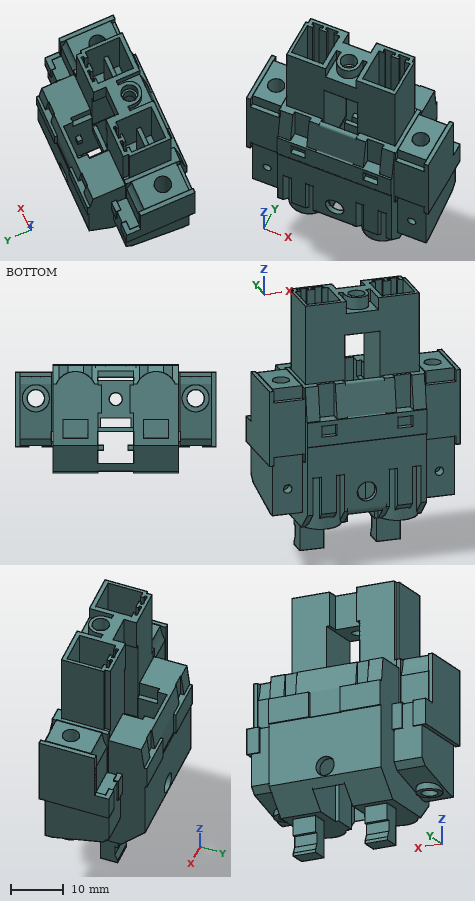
import cadquery as cq

overall_width = 38.1
overall_depth = 20.6
overall_height = 52.4
body_width = 23.85
body_half_width = body_width / 2
body_bottom = 7.4
body_top = 36.5
rear_top = 34.65
rear_shoulder_y = 2.45

front_face_y = -10.05
rear_face_y = 9.95
band_half_depth = overall_depth / 2
band_bottom = 24.85
band_top = 29.8
front_taper_top_y = -8.8
front_taper_bottom_y = -9.9
rear_taper_top_y = 9.15
rear_taper_bottom_y = 9.75
front_chamfer_top = 10.95
front_chamfer_bottom_y = -6.55
rear_chamfer_top = 12.35
rear_chamfer_bottom_y = 5.1
front_grip_half_width = 3.9
top_edge_round = 0.45
bottom_edge_round = 1.25
foot_round = 0.15

channel_half_width = 3.4
channel_front_y = -7.85
channel_rear_y = 8.45
lower_channel_front_y = -9.0
lower_channel_top = 18.45
channel_lead_in_depth = 1.55
channel_side_recess_x = 4.35
channel_side_recess_y = 6.5
channel_side_recess_depth = 3.15
cross_hole_diameter = 3.8
cross_hole_z = 14.5
front_notch_x = (5.9, 9.35)
front_notch_floor_y = -7.95
rear_notch_x = (6.4, 8.9)
rear_notch_floor_y = 9.0
window_x = (6.1, 9.05)
window_z = (26.65, 28.85)
window_depth = 1.05
rear_band_gap_half_width = 3.35

rib_inner_x = 2.7
rib_y = (-6.4, -1.05)
nub_inner_x = 2.3
nub_y = (5.0, 5.95)
nub_z = (20.95, 23.05)
cross_bar_y = (1.6, rear_shoulder_y)
cross_bar_z = (22.0, 25.15)

pole_x = 7.65
sleeve_y = -5.0
sleeve_radius = 4.0
sleeve_top = 18.45
sleeve_slot_x = ((4.5, 6.1), (9.05, 10.8))

flange_half_width = overall_width / 2
flange_bottom = 21.4
flange_shelf = 26.5
flange_front_y = -8.85
flange_rear_y = 5.35
flange_rear_wall_front_y = 4.3
flange_front_wall_z = (23.1, 34.15)
rear_wall_gap_x = (14.0, 16.4)

insert_x = (12.2, 18.2)
insert_top = 36.7
insert_shelf = 26.25
insert_front_y = -7.95
insert_upper_rear_y = 2.3
insert_rear_y = 5.1
insert_bottom = 10.95
insert_flat_rear_y = -6.55
insert_slope_rear_y = 3.8
insert_slope_rear_z = 13.5
insert_corner_z = 14.9
insert_cove_front_y = 1.35
insert_cove_radius = 7.35
insert_bore_x = 15.15
insert_bore_y = -3.9
insert_bore_radius = 1.6
insert_boss_radius = 2.55
side_hole_radius = 0.85
side_hole_z = 16.05
side_hole_depth = 2.1

tower_half_width = 11.35
tower_front_y = -7.3
tower_rear_y = rear_shoulder_y
tower_bottom = 26.2
tower_corner_x = 10.9
tower_corner_y = 1.35
tower_window_half_width = 3.5
tower_window_top = 45.6
rear_notch_half_width = 2.9
rear_notch_front_y = -0.1
bridge_recess_half_width = 3.2
bridge_recess_floor = 49.95
bridge_recess_rear_y = -2.4
bridge_boss_y = -3.7
bridge_boss_radius = 2.3
bridge_bore_radius = 1.2
bridge_counterbore_radius = 1.6
bridge_counterbore_depth = 3.15
socket_floor = 31.45
socket_x = (4.15, 10.75)
socket_front_y = -6.4
socket_inner_rear_y = 0.95
socket_outer_rear_y = 0.65
key_slot_lip_y = 1.3
key_slot_rear_y = 1.8
key_post_front_y = 0.8
key_lip = 0.45
key_slot_inner_x = (4.85, 7.25)
key_slot_outer_x = (7.9, 10.1)

blade_width = 4.4
blade_thickness = 0.85
blade_y = -3.2
blade_tip_depth = 6.3

lever_width = 4.75
lever_front_y = 0.1
lever_rear_y = 3.7
lever_top = 11.55
hook_step_z = 4.1
hook_neck_y = 3.05
hook_neck_bottom = 1.95
hook_tip_y = 3.6
hook_tip_z = 0.65

SIDES = (-1, 1)


def box(x, y, z):
    """Box spanning the (low, high) ranges x, y and z."""
    size = (x[1] - x[0], y[1] - y[0], z[1] - z[0])
    return cq.Workplane("XY").box(*size, centered=False).translate((x[0], y[0], z[0]))


def mirrored(x, side):
    """The range x of distances from the centre plane, placed on the given side of it."""
    return x if side > 0 else (-x[1], -x[0])


def symmetric(half_width):
    return (-half_width, half_width)


def prism(outline, x):
    """Prism with a (Y, Z) outline, spanning the range x."""
    return cq.Workplane("YZ").polyline(outline).close().extrude(x[1] - x[0]).translate((x[0], 0, 0))


def cylinder(x, y, radius, z):
    """Upright cylinder spanning the range z."""
    return cq.Workplane("XY", origin=(x, y, z[0])).circle(radius).extrude(z[1] - z[0])


def housing_body():
    """Solid body with tapered front and rear tops, a raised band and chamfered lower edges."""
    outline = [
        (front_taper_top_y, body_top),
        (front_taper_bottom_y, band_top),
        (-band_half_depth, band_top),
        (-band_half_depth, band_bottom),
        (front_face_y, band_bottom),
        (front_face_y, front_chamfer_top),
        (front_chamfer_bottom_y, body_bottom),
        (rear_chamfer_bottom_y, body_bottom),
        (rear_face_y, rear_chamfer_top),
        (rear_face_y, band_bottom),
        (band_half_depth, band_bottom),
        (band_half_depth, band_top),
        (rear_taper_bottom_y, band_top),
        (rear_taper_top_y, rear_top),
        (rear_shoulder_y, rear_top),
        (rear_shoulder_y, body_top),
    ]
    grip = prism(outline, symmetric(front_grip_half_width))
    top_edge = cq.selectors.NearestToPointSelector((0, front_taper_top_y, body_top))
    bottom_edge = cq.selectors.NearestToPointSelector((0, front_face_y, front_chamfer_top))
    foot_edge = cq.selectors.NearestToPointSelector((0, front_taper_bottom_y, band_top))
    grip = grip.edges(top_edge).fillet(top_edge_round)
    grip = grip.edges(bottom_edge).fillet(bottom_edge_round)
    grip = grip.edges(foot_edge).fillet(foot_round)
    for side in SIDES:
        grip = grip.union(prism(outline, mirrored((front_grip_half_width, body_half_width), side)))
    return grip


def flange(side):
    """Flange shell around one insert: outer wall, front wall and split rear wall."""
    outer = (body_half_width, flange_half_width)
    height = (flange_bottom, body_top)
    shell = box(mirrored(outer, side), (flange_front_y, rear_shoulder_y), height)
    rear_step = box(
        mirrored(outer, side), (rear_shoulder_y, flange_rear_y), (flange_bottom, flange_shelf)
    )
    insert_space = box(mirrored(insert_x, side), (insert_front_y, flange_rear_wall_front_y), height)
    shell = shell.union(rear_step).cut(insert_space)
    inner_gap = box(
        mirrored((body_half_width, insert_x[0]), side),
        (rear_shoulder_y, flange_rear_wall_front_y),
        height,
    )
    rear_gap = box(
        mirrored(rear_wall_gap_x, side), (flange_rear_wall_front_y, flange_rear_y), height
    )
    shell = shell.cut(inner_gap).cut(rear_gap)
    for z in ((flange_bottom, flange_front_wall_z[0]), (flange_front_wall_z[1], body_top)):
        shell = shell.cut(box(mirrored(insert_x, side), (flange_front_y, insert_front_y), z))
    return shell


def channel():
    """Centre channel through the whole height, with its lead-in and a deeper lower front."""
    width = symmetric(channel_half_width)
    opening = box(width, (channel_front_y, channel_rear_y), (body_bottom, body_top))
    lower_front = box(
        width, (lower_channel_front_y, channel_front_y), (body_bottom, lower_channel_top)
    )
    lead_in = box(
        symmetric(front_grip_half_width),
        (channel_front_y, tower_front_y),
        (body_top - channel_lead_in_depth, body_top),
    )
    side_recess = box(
        symmetric(channel_side_recess_x),
        (rear_shoulder_y, channel_side_recess_y),
        (rear_top - channel_side_recess_depth, rear_top),
    )
    return opening.union(lower_front).union(lead_in).union(side_recess)


def latch_cuts(side):
    """Notches in both tapers and the window in the front band, on one side."""
    height = (band_top, body_top)
    front_notch = box(mirrored(front_notch_x, side), (-band_half_depth, front_notch_floor_y), height)
    rear_notch = box(mirrored(rear_notch_x, side), (rear_notch_floor_y, band_half_depth), height)
    window_y = (-band_half_depth, window_depth - band_half_depth)
    return front_notch.union(rear_notch).union(box(mirrored(window_x, side), window_y, window_z))


def sleeve_slots(side):
    """Slots in the front face that uncover the flanks of one wire sleeve."""
    slots = cq.Workplane("XY")
    for x in sleeve_slot_x:
        slots = slots.add(box(mirrored(x, side), (front_face_y, sleeve_y), (body_bottom, sleeve_top)))
    return slots.combine()


def channel_details(side):
    """Upright rib and latch nub on one channel wall."""
    rib_x = mirrored((rib_inner_x, channel_half_width), side)
    nub_x = mirrored((nub_inner_x, channel_half_width), side)
    return box(rib_x, rib_y, (body_bottom, tower_bottom)), box(nub_x, nub_y, nub_z)


def make_housing():
    housing = housing_body()
    for side in SIDES:
        housing = housing.union(flange(side))
    tower_seat = box(
        symmetric(tower_half_width), (tower_front_y, tower_rear_y), (tower_bottom, body_top)
    )
    rear_band_gap = box(
        symmetric(rear_band_gap_half_width),
        (rear_taper_bottom_y, band_half_depth),
        (band_bottom, band_top),
    )
    housing = housing.cut(tower_seat).cut(channel()).cut(rear_band_gap)
    housing = housing.union(box(symmetric(channel_half_width), cross_bar_y, cross_bar_z))
    for side in SIDES:
        housing = housing.cut(latch_cuts(side)).cut(sleeve_slots(side))
        housing = housing.union(
            cylinder(side * pole_x, sleeve_y, sleeve_radius, (body_bottom, sleeve_top))
        )
        for detail in channel_details(side):
            housing = housing.union(detail)
        housing = housing.cut(make_lever(side))
    cross_hole = (
        cq.Workplane("XZ", origin=(0, 0, cross_hole_z))
        .circle(cross_hole_diameter / 2)
        .extrude(band_half_depth, both=True)
    )
    return housing.cut(cross_hole)


def socket(side):
    """Contact socket with two keyed grooves, separated by a post, in its rear wall."""
    inner, outer = socket_x
    outline = [
        (inner, socket_front_y),
        (inner, socket_inner_rear_y),
        (key_slot_inner_x[0] + key_lip, socket_inner_rear_y),
        (key_slot_inner_x[0] + key_lip, key_slot_lip_y),
        (key_slot_inner_x[0], key_slot_lip_y),
        (key_slot_inner_x[0], key_slot_rear_y),
        (key_slot_inner_x[1], key_slot_rear_y),
        (key_slot_inner_x[1], key_slot_lip_y),
        (key_slot_inner_x[1] - key_lip, key_slot_lip_y),
        (key_slot_inner_x[1] - key_lip, key_post_front_y),
        (key_slot_outer_x[0] + key_lip, key_post_front_y),
        (key_slot_outer_x[0] + key_lip, key_slot_lip_y),
        (key_slot_outer_x[0], key_slot_lip_y),
        (key_slot_outer_x[0], key_slot_rear_y),
        (key_slot_outer_x[1], key_slot_rear_y),
        (key_slot_outer_x[1], key_slot_lip_y),
        (key_slot_outer_x[1] - key_lip, key_slot_lip_y),
        (key_slot_outer_x[1] - key_lip, socket_outer_rear_y),
        (outer, socket_outer_rear_y),
        (outer, socket_front_y),
    ]
    placed = [(side * x, y) for x, y in outline]
    floor = cq.Workplane("XY", origin=(0, 0, socket_floor))
    return floor.polyline(placed).close().extrude(overall_height - socket_floor)


def bridge_recess():
    """Recess in the top of the bridge, leaving a U-shaped boss around the screw bore."""
    height = (bridge_recess_floor, overall_height)
    recess = box(
        symmetric(bridge_recess_half_width), (tower_front_y, bridge_recess_rear_y), height
    )
    neck = box(symmetric(bridge_boss_radius), (bridge_boss_y, bridge_recess_rear_y), height)
    return recess.cut(neck).cut(cylinder(0, bridge_boss_y, bridge_boss_radius, height))


def make_tower():
    height = (tower_bottom, overall_height)
    depth = (tower_front_y, tower_rear_y)
    tower = box(symmetric(tower_half_width), depth, height)
    window = box(symmetric(tower_window_half_width), depth, (tower_bottom, tower_window_top))
    rear_notch = box(
        symmetric(rear_notch_half_width), (rear_notch_front_y, tower_rear_y), height
    )
    tower = tower.cut(window).cut(rear_notch).cut(bridge_recess())
    counterbore_z = (overall_height - bridge_counterbore_depth, overall_height)
    tower = tower.cut(cylinder(0, bridge_boss_y, bridge_bore_radius, height))
    tower = tower.cut(cylinder(0, bridge_boss_y, bridge_counterbore_radius, counterbore_z))
    for side in SIDES:
        corner_x = mirrored((tower_corner_x, tower_half_width), side)
        corner = box(corner_x, (tower_corner_y, tower_rear_y), (body_top, overall_height))
        tower = tower.cut(corner).cut(socket(side)).cut(make_blade(side))
    return tower


def make_blade(side):
    """Flat blade standing through the socket floor."""
    x = (pole_x - blade_width / 2, pole_x + blade_width / 2)
    y = (blade_y - blade_thickness / 2, blade_y + blade_thickness / 2)
    return box(mirrored(x, side), y, (tower_bottom, overall_height - blade_tip_depth))


def make_lever(side):
    """Bar that hangs below the housing and has a notch above its hooked tip."""
    outline = [
        (lever_front_y, 0),
        (hook_tip_y, 0),
        (hook_tip_y, hook_tip_z),
        (hook_neck_y, hook_neck_bottom),
        (hook_neck_y, hook_step_z),
        (lever_rear_y, hook_step_z),
        (lever_rear_y, lever_top),
        (lever_front_y, lever_top),
    ]
    x = (pole_x - lever_width / 2, pole_x + lever_width / 2)
    return prism(outline, mirrored(x, side))


def make_insert(side):
    """Stepped block with a screw bore, a boss under its sloped bottom and a side hole."""
    outline = [
        (insert_front_y, insert_bottom),
        (insert_flat_rear_y, insert_bottom),
        (insert_slope_rear_y, insert_slope_rear_z),
        (insert_rear_y, insert_corner_z),
        (insert_rear_y, insert_shelf),
        (insert_upper_rear_y, insert_shelf),
        (insert_upper_rear_y, insert_top),
        (insert_front_y, insert_top),
    ]
    bore_x = side * insert_bore_x
    x = mirrored(insert_x, side)
    insert = prism(outline, x).union(
        cylinder(bore_x, insert_bore_y, insert_boss_radius, (insert_bottom, insert_shelf))
    )
    cove = (
        cq.Workplane("YZ", origin=(x[0], insert_cove_front_y + insert_cove_radius, insert_top))
        .circle(insert_cove_radius)
        .extrude(x[1] - x[0])
    )
    side_hole = (
        cq.Workplane("XZ", origin=(bore_x, insert_front_y, side_hole_z))
        .circle(side_hole_radius)
        .extrude(-side_hole_depth)
    )
    bore = cylinder(bore_x, insert_bore_y, insert_bore_radius, (insert_bottom, insert_top))
    return insert.cut(bore).cut(cove).cut(side_hole).cut(flange(side))


housing = make_housing()
tower = make_tower()
blades = [make_blade(side) for side in SIDES]
levers = [make_lever(side) for side in SIDES]
inserts = [make_insert(side) for side in SIDES]

result = cq.Compound.makeCompound(
    [housing.val(), tower.val()] + [body.val() for body in blades + levers + inserts]
)